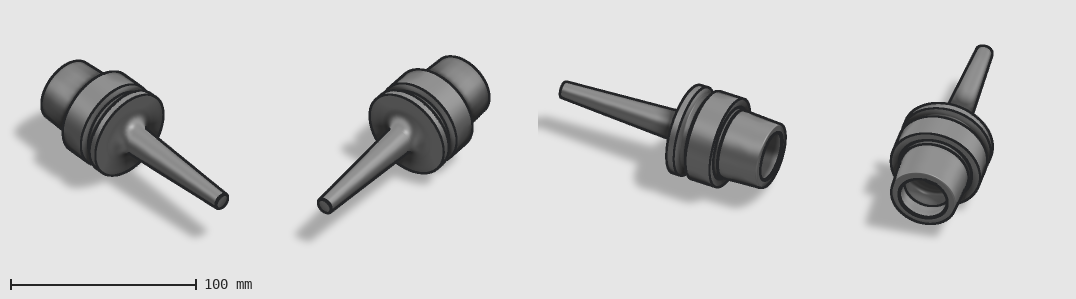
import cadquery as cq
import math

total_length = 124.9

mouth_radius = 18.1
mouth_round = 0.9
taper_end = 22.7
taper_end_radius = 19.2
neck_start = 23.5
neck_radius = 18.9

flange_start = 25.0
flange_end = 51.0
flange_radius = 25.0
relief_depth = 0.5
relief_radius = 20.5
neck_fillet = 0.9

groove_start = 39.5
groove_floor_start = 41.5
groove_fillet = 0.9
groove_wall_angle = math.radians(60.0)
groove_end = 46.5
groove_radius = 21.6

nose_fillet = 7.5
nose_tip_radius = 4.6
nose_half_angle = math.radians(3.0)
tip_chamfer = 0.4

bore_radius = 13.1
bore_chamfer = 0.6
lip_end = 9.6
chamber_radius = 15.1
chamber_flare_angle = math.radians(60.0)
bore_depth = 22.2
bore_fillet = 3.2
pocket_radius = 8.1
pocket_depth = 12.5
pocket_mouth_chamfer = 0.2
pocket_floor_chamfer = 1.1

diagonal = math.sqrt(0.5)


def nose_radius(x):
    """Radius of the nose cone at position x."""
    return nose_tip_radius + (total_length - x) * math.tan(nose_half_angle)


def fillet_point(angle):
    """Point on the nose root fillet whose normal is tilted by angle from radial."""
    center_x = flange_end + nose_fillet
    center_radius = nose_radius(center_x) + nose_fillet / math.cos(nose_half_angle)
    return (
        center_x - nose_fillet * math.sin(angle),
        center_radius - nose_fillet * math.cos(angle),
    )


def groove_fillet_point(angle):
    """Point on the groove fillet after turning by angle from the groove floor."""
    wall_run = (flange_radius - groove_radius) / math.tan(groove_wall_angle)
    tangent_length = groove_fillet * math.tan(groove_wall_angle / 2)
    fillet_start = groove_end - wall_run - tangent_length
    return (
        fillet_start + groove_fillet * math.sin(angle),
        groove_radius + groove_fillet * (1 - math.cos(angle)),
    )


def revolve_about_x(profile):
    return profile.close().revolve(360, (0, 0, 0), (1, 0, 0))


def holder_body():
    relief_floor = flange_start + relief_depth
    fillet_middle = fillet_point((nose_half_angle + math.pi / 2) / 2)
    return revolve_about_x(
        cq.Workplane("XY")
        .moveTo(0, 0)
        .lineTo(0, mouth_radius - mouth_round)
        .threePointArc(
            (mouth_round * (1 - diagonal), mouth_radius - mouth_round * (1 - diagonal)),
            (mouth_round, mouth_radius),
        )
        .lineTo(taper_end, taper_end_radius)
        .lineTo(neck_start, neck_radius)
        .lineTo(relief_floor - neck_fillet, neck_radius)
        .threePointArc(
            (
                relief_floor - neck_fillet * (1 - diagonal),
                neck_radius + neck_fillet * (1 - diagonal),
            ),
            (relief_floor, neck_radius + neck_fillet),
        )
        .lineTo(flange_start, relief_radius)
        .lineTo(flange_start, flange_radius)
        .lineTo(groove_start, flange_radius)
        .lineTo(groove_floor_start, groove_radius)
        .lineTo(*groove_fillet_point(0))
        .threePointArc(
            groove_fillet_point(groove_wall_angle / 2),
            groove_fillet_point(groove_wall_angle),
        )
        .lineTo(groove_end, flange_radius)
        .lineTo(flange_end, flange_radius)
        .lineTo(*fillet_point(math.pi / 2))
        .threePointArc(fillet_middle, fillet_point(nose_half_angle))
        .lineTo(total_length - tip_chamfer, nose_radius(total_length - tip_chamfer))
        .lineTo(total_length, nose_tip_radius - tip_chamfer)
        .lineTo(total_length, 0)
    )


def stepped_bore():
    flare_length = (chamber_radius - bore_radius) / math.tan(chamber_flare_angle)
    pocket_floor = bore_depth + pocket_depth
    return revolve_about_x(
        cq.Workplane("XY")
        .moveTo(0, 0)
        .lineTo(0, bore_radius + bore_chamfer)
        .lineTo(bore_chamfer, bore_radius)
        .lineTo(lip_end, bore_radius)
        .lineTo(lip_end + flare_length, chamber_radius)
        .lineTo(bore_depth - bore_fillet, chamber_radius)
        .threePointArc(
            (
                bore_depth - bore_fillet * (1 - diagonal),
                chamber_radius - bore_fillet * (1 - diagonal),
            ),
            (bore_depth, chamber_radius - bore_fillet),
        )
        .lineTo(bore_depth, pocket_radius + pocket_mouth_chamfer)
        .lineTo(bore_depth + pocket_mouth_chamfer, pocket_radius)
        .lineTo(pocket_floor - pocket_floor_chamfer, pocket_radius)
        .lineTo(pocket_floor, pocket_radius - pocket_floor_chamfer)
        .lineTo(pocket_floor, 0)
    )


result = holder_body().cut(stepped_bore())